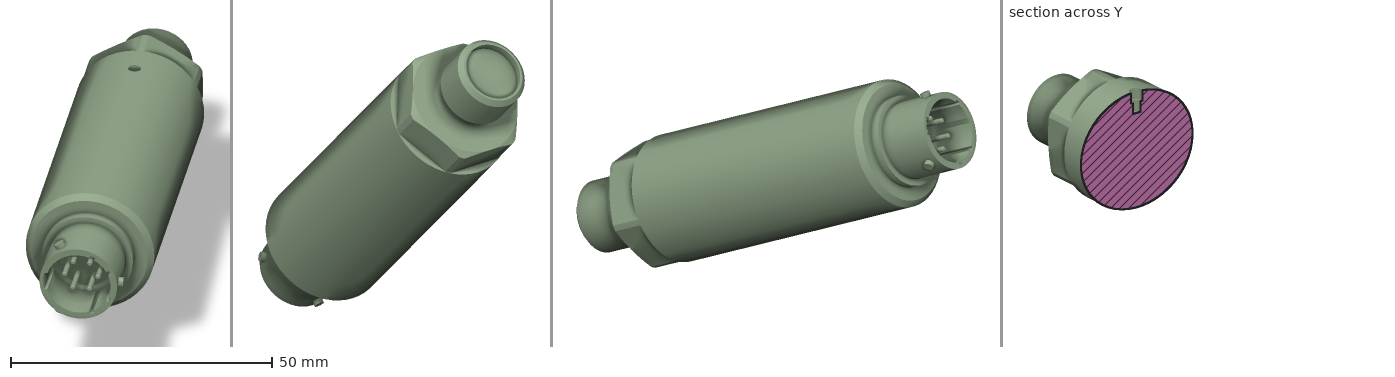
import cadquery as cq
import math

yaw = 6.0
pitch = 3.8

thread_end = 8.7
neck_start = 9.7
hex_start = 12.8
body_start = 19.9
body_end = 78.3
collar_end = 80.1
barrel_end = 90.7

thread_radius = 7.1
thread_chamfer = 0.9
neck_radius = 5.6
port_radius = 5.7
port_depth = 1.8
neck_flare = 1.1
body_radius = 12.5
body_chamfer = 1.1
collar_radius = 8.8
barrel_radius = 7.5

hex_flats = 22.0
hex_corner_radius = 12.4
hex_face_radius = 11.0
hex_chamfer = 0.55

side_hole_station = 26.9
side_hole_diameter = 2.5
side_hole_depth = 2.3
side_hole_inner_diameter = 1.6
side_hole_inner_depth = 4.6

stud_count = 3
stud_station = 88.4
stud_diameter = 1.9
stud_reach = 8.4

socket_radius = 6.2
socket_depth = 9.35
socket_lip = 0.9
keyway_radius = 6.8
main_keyway_angle = 180
main_keyway_width = 3.5
keyway_angles = [-66, -26, 26, 66]
keyway_width = 1.0

pin_count = 6
pin_circle_radius = 3.2
pin_diameter = 1.0
pin_length = 6.2
pin_chamfer = 0.2


def turned_shape():
    """Thread end with its recessed face, neck, core of the hexagon, body, collar and barrel."""
    flare_mid = neck_flare * (1 - math.sqrt(0.5))
    outline = (
        cq.Workplane("XZ")
        .moveTo(0, port_depth)
        .lineTo(port_radius, port_depth)
        .lineTo(port_radius, 0)
        .lineTo(thread_radius - thread_chamfer, 0)
        .lineTo(thread_radius, thread_chamfer)
        .lineTo(thread_radius, thread_end)
        .lineTo(neck_radius, neck_start)
        .lineTo(neck_radius, hex_start - neck_flare)
        .threePointArc(
            (neck_radius + flare_mid, hex_start - flare_mid),
            (neck_radius + neck_flare, hex_start),
        )
        .lineTo(neck_radius + neck_flare, body_start)
        .lineTo(body_radius, body_start)
        .lineTo(body_radius, body_end - body_chamfer)
        .lineTo(body_radius - body_chamfer, body_end)
        .lineTo(collar_radius, body_end)
        .lineTo(collar_radius, collar_end)
        .lineTo(barrel_radius, collar_end)
        .lineTo(barrel_radius, barrel_end)
        .lineTo(0, barrel_end)
        .close()
    )
    return outline.revolve(360, (0, 0, 0), (0, 1, 0))


def hexagon():
    """Hexagon with one corner toward +Y, trimmed by a round blank with a bevelled rear edge."""
    length = body_start - hex_start
    prism = (
        cq.Workplane("XY", origin=(0, 0, hex_start))
        .polygon(6, hex_flats, circumscribed=True)
        .extrude(length)
    )
    blank = (
        cq.Workplane("XY", origin=(0, 0, hex_start))
        .circle(hex_corner_radius)
        .extrude(length)
        .faces("<Z")
        .chamfer(hex_chamfer, hex_corner_radius - hex_face_radius)
    )
    return prism.intersect(blank)


def side_hole():
    """Stepped hole entering the body from +Y."""

    def bore(diameter, depth):
        return (
            cq.Workplane("XZ", origin=(0, body_radius, side_hole_station))
            .circle(diameter / 2)
            .extrude(depth)
        )

    outer = bore(side_hole_diameter, side_hole_depth)
    return outer.union(bore(side_hole_inner_diameter, side_hole_inner_depth))


def bayonet_studs():
    """Round studs evenly spaced around the barrel, starting at +X."""
    stud = (
        cq.Workplane("YZ", origin=(keyway_radius, 0, stud_station))
        .circle(stud_diameter / 2)
        .extrude(stud_reach - keyway_radius)
    )
    studs = cq.Workplane("XY")
    for i in range(stud_count):
        studs = studs.union(stud.rotate((0, 0, 0), (0, 0, 1), 360 * i / stud_count))
    return studs


def socket():
    """Bore in the barrel, narrowed at its floor by a rounded lip, with one wide and four narrow keyways."""
    floor = barrel_end - socket_depth
    lip_top = floor + socket_lip
    lip_middle = socket_lip * math.sqrt(0.5)
    cavity = (
        cq.Workplane("XZ")
        .moveTo(0, floor)
        .lineTo(socket_radius - socket_lip, floor)
        .threePointArc(
            (socket_radius - lip_middle, floor + lip_middle),
            (socket_radius, lip_top),
        )
        .lineTo(socket_radius, barrel_end)
        .lineTo(0, barrel_end)
        .close()
        .revolve(360, (0, 0, 0), (0, 1, 0))
    )
    keyway_length = barrel_end - lip_top
    keyway_limit = cq.Workplane("XY", origin=(0, 0, lip_top)).circle(keyway_radius).extrude(keyway_length)
    keyways = [(main_keyway_angle, main_keyway_width)]
    keyways += [(angle, keyway_width) for angle in keyway_angles]
    for angle, width in keyways:
        slot = (
            cq.Workplane("XY", origin=(0, 0, lip_top))
            .center(keyway_radius / 2, 0)
            .rect(keyway_radius, width)
            .extrude(keyway_length)
            .rotate((0, 0, 0), (0, 0, 1), angle)
        )
        cavity = cavity.union(slot.intersect(keyway_limit))
    return cavity


def contact_pins():
    """Ring of contact pins with bevelled tips."""
    return (
        cq.Workplane("XY", origin=(0, 0, barrel_end - socket_depth))
        .polarArray(pin_circle_radius, 0, 360, pin_count)
        .circle(pin_diameter / 2)
        .extrude(pin_length)
        .faces(">Z")
        .chamfer(pin_chamfer)
    )


part = turned_shape().union(hexagon()).cut(side_hole()).cut(socket())
part = part.union(bayonet_studs()).union(contact_pins())

part = part.rotate((0, 0, 0), (1, 0, 0), 90 - pitch)
result = part.rotate((0, 0, 0), (0, 0, 1), yaw)